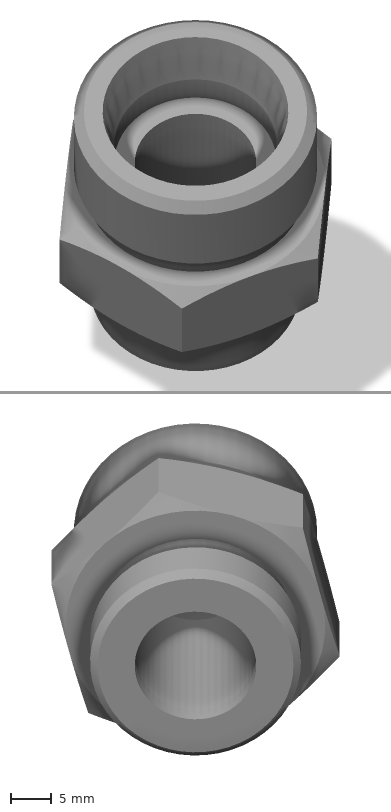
import cadquery as cq
import math

total_height = 37.0
hex_bottom = 10.62
hex_top = 22.42

hex_across_flats = 32.0
hex_across_corners = hex_across_flats / math.cos(math.radians(30))
hex_chamfer_angle = math.radians(30)

lower_radius = 26.0 / 2
lower_neck_radius = 24.15 / 2
lower_chamfer = lower_radius - lower_neck_radius
lower_thread_top = 7.5

upper_radius = 30.0 / 2
upper_neck_radius = 27.53 / 2
upper_chamfer = upper_radius - upper_neck_radius
upper_thread_bottom = 24.5

bore_radius = 15.0 / 2
socket_radius = 20.0 / 2
cone_mouth_radius = 22.9 / 2
cone_half_angle = math.radians(12)
cone_depth = (cone_mouth_radius - socket_radius) / math.tan(cone_half_angle)
socket_depth = 10.5


def revolve_profile(points):
    """Revolve a closed (radius, z) outline about the Z axis."""
    return cq.Workplane("XZ").polyline(points).close().revolve(360, (0, 0), (0, 1))


def make_hex():
    """Hexagon whose corners are turned down by a cone at both ends."""
    flat_radius = hex_across_flats / 2
    corner_radius = hex_across_corners / 2
    corner_drop = (corner_radius - flat_radius) * math.tan(hex_chamfer_angle)
    prism = (
        cq.Workplane("XY", origin=(0, 0, hex_bottom))
        .polygon(6, hex_across_corners)
        .extrude(hex_top - hex_bottom)
        .rotate((0, 0, 0), (0, 0, 1), 30)
    )
    envelope = revolve_profile([
        (0, hex_bottom),
        (flat_radius, hex_bottom),
        (corner_radius, hex_bottom + corner_drop),
        (corner_radius, hex_top - corner_drop),
        (flat_radius, hex_top),
        (0, hex_top),
    ])
    return prism.intersect(envelope)


def make_lower_end():
    """Chamfered thread body with a relief neck below the hexagon."""
    return revolve_profile([
        (0, 0),
        (lower_neck_radius, 0),
        (lower_radius, lower_chamfer),
        (lower_radius, lower_thread_top - lower_chamfer),
        (lower_neck_radius, lower_thread_top),
        (lower_neck_radius, hex_bottom),
        (0, hex_bottom),
    ])


def make_upper_end():
    """Chamfered thread body with a relief neck above the hexagon."""
    return revolve_profile([
        (0, hex_top),
        (upper_neck_radius, hex_top),
        (upper_neck_radius, upper_thread_bottom),
        (upper_radius, upper_thread_bottom + upper_chamfer),
        (upper_radius, total_height - upper_chamfer),
        (upper_neck_radius, total_height),
        (0, total_height),
    ])


def make_bore():
    """Through hole opening into a flat-bottomed socket with a conical mouth."""
    socket_floor = total_height - socket_depth
    return revolve_profile([
        (0, 0),
        (bore_radius, 0),
        (bore_radius, socket_floor),
        (socket_radius, socket_floor),
        (socket_radius, total_height - cone_depth),
        (cone_mouth_radius, total_height),
        (0, total_height),
    ])


result = make_hex().union(make_lower_end()).union(make_upper_end()).cut(make_bore())